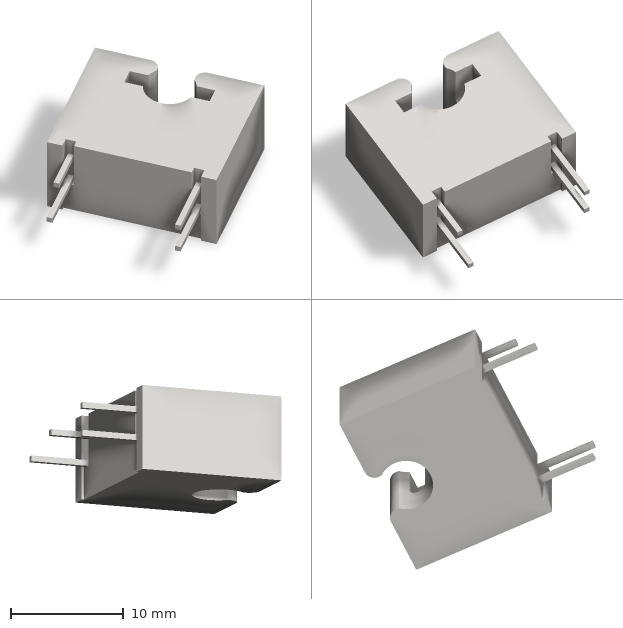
import cadquery as cq
import math

body_width = 15.88
body_depth = 13.33
body_height = 7.62

foot_width = 1.44
recess_depth = 0.27

slot_width = 0.98
slot_depth = 0.64

pin_size = 0.53
pin_pitch_z = 2.54
upper_pin_drop = 1.88
pin_reach = 5.08
short_pin_reach = 3.18

bore_radius = 2.385
bore_setback = 2.78
mouth_width = 3.53
lip_radius = 0.95

pocket_length = 8.0
pocket_width = 1.53

front_y = -body_depth
recess_y = front_y + recess_depth
slot_floor_y = recess_y + slot_depth
recess_half_width = body_width / 2 - foot_width
pin_x = recess_half_width - slot_width / 2
upper_pin_z = body_height - upper_pin_drop
lower_pin_z = upper_pin_z - pin_pitch_z
slot_bottom_z = lower_pin_z - pin_size / 2


def box_between(x0, x1, y0, y1, z0, z1):
    """Axis-aligned box between two opposite corners."""
    return cq.Workplane("XY").box(x1 - x0, y1 - y0, z1 - z0, centered=False).translate((x0, y0, z0))


def make_block():
    """Solid block with the shallow full-height recess in its front face."""
    block = box_between(-body_width / 2, body_width / 2, front_y, 0, 0, body_height)
    recess = box_between(-recess_half_width, recess_half_width, front_y, recess_y, 0, body_height)
    return block.cut(recess)


def make_bore():
    """Keyhole cutter: the bore arc meets a convex lip arc on each side of the mouth."""
    bore_y = -bore_setback
    lip_x = mouth_width / 2 + lip_radius
    lip_y = -lip_radius
    lip_rise = lip_y - bore_y

    centre_distance = math.hypot(lip_x, lip_rise)
    lip_direction = math.atan2(lip_rise, lip_x)
    cosine = (bore_radius**2 + centre_distance**2 - lip_radius**2) / (2 * bore_radius * centre_distance)
    corner_direction = lip_direction + math.acos(cosine)
    corner_x = bore_radius * math.cos(corner_direction)
    corner_y = bore_y + bore_radius * math.sin(corner_direction)

    return (
        cq.Workplane("XY")
        .moveTo(-lip_x, 0)
        .threePointArc((-mouth_width / 2, lip_y), (-corner_x, corner_y))
        .threePointArc((0, bore_y - bore_radius), (corner_x, corner_y))
        .threePointArc((mouth_width / 2, lip_y), (lip_x, 0))
        .close()
        .extrude(body_height)
    )


def make_pocket():
    """Pocket cutter, open at the top, whose round bottom is centred at mid-height."""
    half_width = pocket_width / 2
    axis_z = body_height / 2
    return (
        cq.Workplane("YZ")
        .moveTo(-bore_setback - half_width, body_height)
        .lineTo(-bore_setback - half_width, axis_z)
        .threePointArc((-bore_setback, axis_z - half_width), (-bore_setback + half_width, axis_z))
        .lineTo(-bore_setback + half_width, body_height)
        .close()
        .extrude(pocket_length / 2, both=True)
    )


def make_slot(x):
    """Pin slot cutter centred on x."""
    half_width = slot_width / 2
    return box_between(x - half_width, x + half_width, front_y, slot_floor_y, slot_bottom_z, body_height)


def make_pin(x, z, reach):
    """Square pin from the slot floor to the given reach in front of the feet."""
    half_size = pin_size / 2
    return box_between(x - half_size, x + half_size, front_y - reach, slot_floor_y, z - half_size, z + half_size)


result = make_block().cut(make_bore()).cut(make_pocket())

for side_x in (-pin_x, pin_x):
    result = result.cut(make_slot(side_x))

pins = [
    (-pin_x, upper_pin_z, short_pin_reach),
    (-pin_x, lower_pin_z, pin_reach),
    (pin_x, upper_pin_z, pin_reach),
    (pin_x, lower_pin_z, pin_reach),
]
for x, z, reach in pins:
    result = result.union(make_pin(x, z, reach))